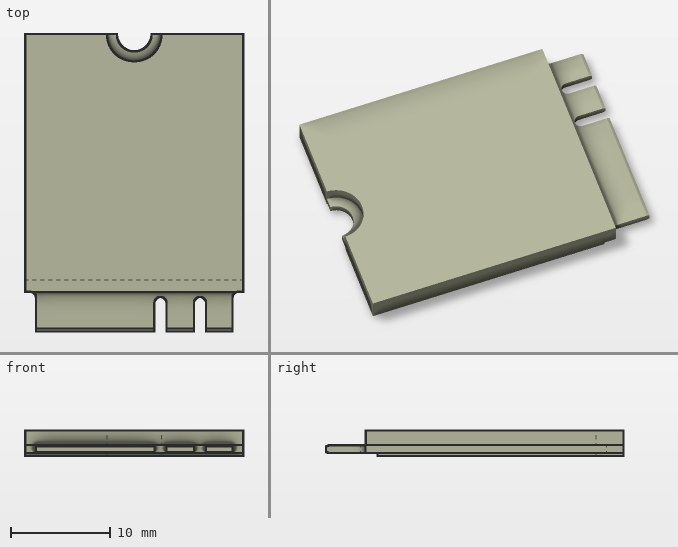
import cadquery as cq

card_width = 22.0
card_length = 30.0
card_height = 2.6

bottom_thickness = 0.3
board_thickness = 0.8
top_thickness = card_height - bottom_thickness - board_thickness
board_base = bottom_thickness
board_top = board_base + board_thickness

tongue_width = 19.85
tongue_length = 4.0
neck_radius = 0.5
bevel_length = 0.3
bevel_height = 0.12

slot_width = 1.2
slot_depth = 3.48
slot_spacing = 4.0
outer_slot_x = 6.63
slot_centers = [outer_slot_x - slot_spacing, outer_slot_x]

bottom_setback = 1.2
screw_notch_radius = 1.75
cover_notch_radius = 2.75


def plate(front_y, base_z, thickness, notch_radius):
    """Full-width plate from front_y to the rear edge, with a half-round rear notch."""
    length = card_length - front_y
    body = cq.Workplane("XY").box(card_width, length, thickness, centered=(True, False, False))
    notch = cq.Workplane("XY").center(0, length).circle(notch_radius).extrude(thickness)
    return body.cut(notch).translate((0, front_y, base_z))


def tongue():
    """Connector tongue: concave neck fillets at its root and a bevelled leading edge."""
    half_width = tongue_width / 2
    root_half_width = half_width + neck_radius
    neck_y = tongue_length - neck_radius
    outline = (
        cq.Workplane("XY", origin=(0, 0, board_base))
        .moveTo(-half_width, 0)
        .lineTo(half_width, 0)
        .lineTo(half_width, neck_y)
        .radiusArc((root_half_width, tongue_length), neck_radius)
        .lineTo(-root_half_width, tongue_length)
        .radiusArc((-half_width, neck_y), neck_radius)
        .close()
    )
    body = outline.extrude(board_thickness)
    side_profile = (
        cq.Workplane("YZ", origin=(-card_width / 2, 0, 0))
        .moveTo(0, board_base + bevel_height)
        .lineTo(bevel_length, board_base)
        .lineTo(tongue_length, board_base)
        .lineTo(tongue_length, board_top)
        .lineTo(bevel_length, board_top)
        .lineTo(0, board_top - bevel_height)
        .close()
        .extrude(card_width)
    )
    return body.intersect(side_profile)


def key_slot(center_x):
    """Cutter for one slot, open at the connector edge and round at its inner end."""
    straight_depth = slot_depth - slot_width / 2
    return (
        cq.Workplane("XY", origin=(center_x, 0, board_base))
        .moveTo(-slot_width / 2, 0)
        .lineTo(slot_width / 2, 0)
        .lineTo(slot_width / 2, straight_depth)
        .threePointArc((0, slot_depth), (-slot_width / 2, straight_depth))
        .close()
        .extrude(board_thickness)
    )


def make_circuit_board():
    """Board with its connector tongue, key slots and screw notch."""
    board = plate(tongue_length, board_base, board_thickness, screw_notch_radius)
    board = board.union(tongue())
    for center_x in slot_centers:
        board = board.cut(key_slot(center_x))
    return board


def make_top_cover():
    """Thick cover whose wider notch leaves a board ledge for the screw head."""
    return plate(tongue_length, board_top, top_thickness, cover_notch_radius)


def make_bottom_cover():
    """Thin cover under the board, set back from the root of the tongue."""
    return plate(tongue_length + bottom_setback, 0, bottom_thickness, cover_notch_radius)


circuit_board = make_circuit_board()
top_cover = make_top_cover()
bottom_cover = make_bottom_cover()

result = cq.Compound.makeCompound([circuit_board.val(), top_cover.val(), bottom_cover.val()])